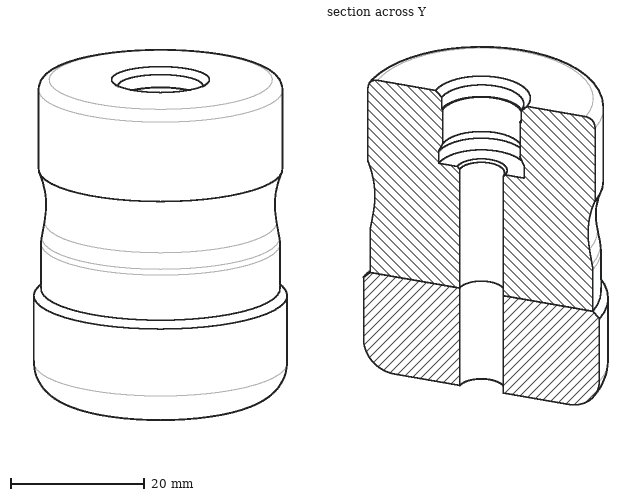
import cadquery as cq
import math

total_height = 49.0
base_height = 16.45

base_radius = 19.045
base_bottom_fillet = 5.0
base_top_chamfer = 1.1

neck_radius = base_radius - base_top_chamfer
neck_top = 23.55
blend_top = 24.4
blend_top_radius = 17.85
waist_radius = 17.2
waist_height = 29.4
waist_arc_radius = 15.0
waist_arc_bottom = 26.85
head_radius = 18.35
head_bottom = 35.05
head_fillet = 1.55

mouth_radius = 7.35
counterbore_radius = 6.35
mouth_depth = mouth_radius - counterbore_radius
counterbore_depth = 2.95
bore_radius = 6.2
relief_top_depth = 8.75
relief_radius = 6.85
relief_angle = 25.0
relief_straight = 1.95
through_radius = 3.5
through_chamfer = 0.4


def waist_arc_at(height):
    """Outer radius of the concave waist arc at a given height."""
    offset = height - waist_height
    return waist_radius + waist_arc_radius - math.sqrt(waist_arc_radius**2 - offset**2)


def make_base():
    body = cq.Workplane("XY").circle(base_radius).extrude(base_height)
    body = body.faces("<Z").edges().fillet(base_bottom_fillet)
    body = body.faces(">Z").edges().chamfer(base_top_chamfer)
    through_hole = cq.Workplane("XY").circle(through_radius).extrude(base_height)
    return body.cut(through_hole)


def make_head_blank():
    profile = (
        cq.Workplane("XZ")
        .moveTo(0, base_height)
        .lineTo(neck_radius, base_height)
        .lineTo(neck_radius, neck_top)
        .tangentArcPoint((blend_top_radius, blend_top), relative=False)
        .lineTo(waist_arc_at(waist_arc_bottom), waist_arc_bottom)
        .threePointArc((waist_radius, waist_height), (waist_arc_at(head_bottom), head_bottom))
        .lineTo(head_radius, head_bottom)
        .lineTo(head_radius, total_height)
        .lineTo(0, total_height)
        .close()
    )
    blank = profile.revolve(360, (0, 0, 0), (0, 1, 0))
    return blank.faces(">Z").edges().fillet(head_fillet)


def make_bore():
    """Revolved cutter: tapered mouth, counterbore, bore, wider relief and through hole."""
    relief_top = total_height - relief_top_depth
    slope_height = (relief_radius - bore_radius) / math.tan(math.radians(relief_angle))
    relief_slope_end = relief_top - slope_height
    floor = relief_slope_end - relief_straight
    step = total_height - counterbore_depth
    profile = (
        cq.Workplane("XZ")
        .moveTo(0, total_height)
        .lineTo(mouth_radius, total_height)
        .lineTo(counterbore_radius, total_height - mouth_depth)
        .lineTo(counterbore_radius, step)
        .lineTo(bore_radius, step)
        .lineTo(bore_radius, relief_top)
        .lineTo(relief_radius, relief_slope_end)
        .lineTo(relief_radius, floor)
        .lineTo(through_radius + through_chamfer, floor)
        .lineTo(through_radius, floor - through_chamfer)
        .lineTo(through_radius, base_height)
        .lineTo(0, base_height)
        .close()
    )
    return profile.revolve(360, (0, 0, 0), (0, 1, 0))


base = make_base()
head = make_head_blank().cut(make_bore())

result = cq.Compound.makeCompound([base.val(), head.val()])